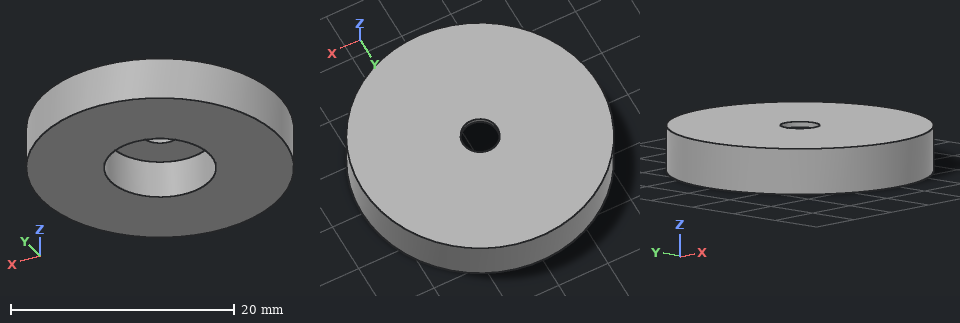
import cadquery as cq

outer_diameter = 24.0
thickness = 4.18
bore_diameter = 3.5
recess_diameter = 10.03
web_thickness = 0.5

disc = cq.Workplane("XY").circle(outer_diameter / 2).extrude(thickness)

bore = cq.Workplane("XY").circle(bore_diameter / 2).extrude(thickness)

recess_depth = thickness - web_thickness
recess = cq.Workplane("XY").circle(recess_diameter / 2).extrude(recess_depth)

result = disc.cut(bore).cut(recess)